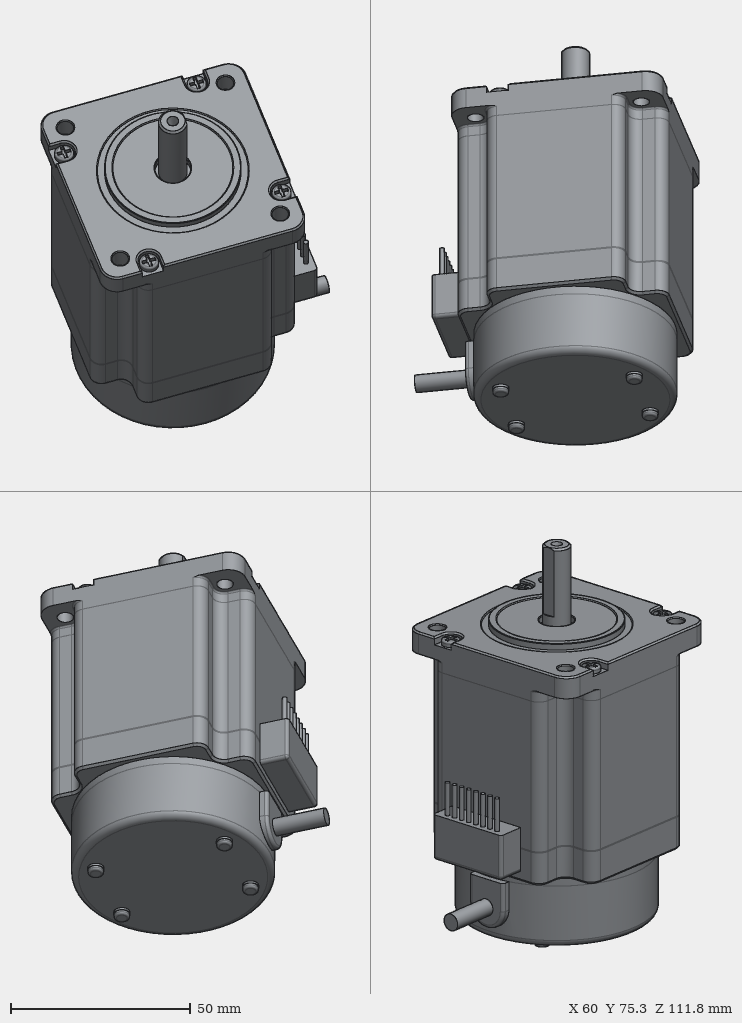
import cadquery as cq
import math


BODY_WIDTH = 60.0
HALF_WIDTH = BODY_WIDTH / 2
CORNER_RADIUS = 5.0
FLANGE_THICKNESS = 6.5
FRONT_CAP_BOTTOM = -9.9
STATOR_BOTTOM = -54.85
GASKET_THICKNESS = 0.3
BODY_BOTTOM = -65.0
FACE_CHAMFER = 0.5
END_CHAMFER = 0.7

RELIEF_WALL = 19.7
RELIEF_ROUND = 3.4
RELIEF_CEILING_FILLET = 0.5
RELIEF_MARGIN = 2.0

HOLE_PITCH = 47.14
HOLE_DIAMETER = 4.6
HOLE_CHAMFER = 0.3
SCREW_NEAR = 16.1
SCREW_FAR = 26.5
NOTCH_WIDTH = 6.2
NOTCH_DEPTH = 2.25
SCREW_HEAD_DIAMETER = 5.4
SCREW_HEAD_HEIGHT = 1.7
SCREW_HEAD_FILLET = 0.7
CROSS_LENGTH = 3.8
CROSS_WIDTH = 0.9
CROSS_DEPTH = 1.3

PILOT_RADIUS = 19.05
PILOT_HEIGHT = 1.6
PILOT_MOAT_RADIUS = 21.3
PILOT_MOAT_DEPTH = 0.3
PILOT_CHAMFER = 0.2
PILOT_RECESS_RADIUS = 17.0
PILOT_RECESS_DEPTH = 0.3
SHAFT_BORE_RADIUS = 5.0
SHAFT_BORE_CHAMFER = 0.25
SHAFT_BORE_DEPTH = 2.0
SHAFT_RADIUS = 4.0
SHAFT_TOP = 24.0
SHAFT_CHAMFER = 0.6
FLAT_DISTANCE = 3.5
ROUND_LENGTH = 2.0
FLAT_BOTTOM = PILOT_HEIGHT + ROUND_LENGTH
CENTRE_HOLE_RADIUS = 1.6
CENTRE_HOLE_TIP_RADIUS = 0.4
CENTRE_HOLE_DEPTH = 3.0

COVER_RADIUS = 28.35
COVER_TOP = -67.4
COVER_BOTTOM = -85.75
COVER_FILLET = 2.0
COVER_SCREW_X = 11.0
COVER_SCREW_Y = 19.0
COVER_SCREW_DIAMETER = 4.4
COVER_SCREW_BOTTOM = -87.77
COVER_SCREW_FILLET = 0.7
WASHER_DIAMETER = 4.6
WASHER_THICKNESS = 0.7

CONNECTOR_WIDTH = 25.1
CONNECTOR_END = 38.4
CONNECTOR_TOP = -48.8
CONNECTOR_BOTTOM = -62.3
CONNECTOR_FILLET = 1.0
PIN_COUNT = 8
PIN_PITCH = 2.6
PIN_DIAMETER = 1.35
PIN_Y = 36.1
PIN_TOP = -39.0

CABLE_DIAMETER = 5.0
CABLE_Z = -75.9
CABLE_END = 45.3
GROMMET_RADIUS = 6.2
GROMMET_END = 30.2
GROMMET_FILLET = 1.0

SEAT = 1.0


def cylinder(radius, bottom, top, x=0.0, y=0.0):
    return cq.Workplane("XY", origin=(x, y, bottom)).circle(radius).extrude(top - bottom)


def countersink(radius, depth, top, x=0.0, y=0.0):
    """Cone with 45 degree sides, widest at the top."""
    cone = cq.Solid.makeCone(radius - depth, radius, depth, cq.Vector(x, y, top - depth))
    return cq.Workplane(cone)


def square_prism(bottom, top):
    return cq.Workplane("XY", origin=(0, 0, bottom)).rect(BODY_WIDTH, BODY_WIDTH).extrude(top - bottom)


def quarter_turns(shape):
    """The shape and its three copies about the motor axis."""
    return [shape.rotate((0, 0, 0), (0, 0, 1), 90 * turn) for turn in range(4)]


def corner_relief():
    """Space beside the body's -X -Y corner: two rounded lips and a rounded inside corner."""
    wall = -RELIEF_WALL
    r = RELIEF_ROUND
    mid = r * (1 - math.sqrt(0.5))
    face = -HALF_WIDTH
    outside = face - RELIEF_MARGIN
    bottom = BODY_BOTTOM - RELIEF_MARGIN
    relief = (
        cq.Workplane("XY", origin=(0, 0, bottom))
        .moveTo(outside, outside)
        .lineTo(wall + r, outside)
        .lineTo(wall + r, face)
        .threePointArc((wall + mid, face + mid), (wall, face + r))
        .lineTo(wall, wall - r)
        .threePointArc((wall - mid, wall - mid), (wall - r, wall))
        .lineTo(face + r, wall)
        .threePointArc((face + mid, wall + mid), (face, wall + r))
        .lineTo(outside, wall + r)
        .close()
        .extrude(-FLANGE_THICKNESS - bottom)
    )
    return relief.faces(">Z").edges().fillet(RELIEF_CEILING_FILLET)


def notch():
    """Screw pocket in the flange face, open to the -Y side."""
    tool = cylinder(NOTCH_WIDTH / 2, -NOTCH_DEPTH, SEAT, -SCREW_NEAR, -SCREW_FAR)
    run_out = HALF_WIDTH + SEAT - SCREW_FAR
    slot = cq.Workplane("XY").box(NOTCH_WIDTH, run_out, NOTCH_DEPTH + SEAT, centered=(True, False, False))
    return tool.union(slot.translate((-SCREW_NEAR, -SCREW_FAR - run_out, -NOTCH_DEPTH)))


def flange_screw():
    top = SCREW_HEAD_HEIGHT - NOTCH_DEPTH
    head = cylinder(SCREW_HEAD_DIAMETER / 2, -NOTCH_DEPTH - SEAT, top)
    head = head.faces(">Z").edges().fillet(SCREW_HEAD_FILLET)
    slot = (
        cq.Workplane("XY", origin=(0, 0, top - CROSS_DEPTH))
        .rect(CROSS_LENGTH, CROSS_WIDTH)
        .extrude(CROSS_DEPTH)
    )
    cross = slot.union(slot.rotate((0, 0, 0), (0, 0, 1), 90))
    return head.cut(cross).translate((-SCREW_NEAR, -SCREW_FAR, 0))


def motor_body():
    front_cap = square_prism(FRONT_CAP_BOTTOM, 0).edges("|Z").fillet(CORNER_RADIUS)
    for tool in quarter_turns(notch()):
        front_cap = front_cap.cut(tool)
    front_cap = front_cap.faces(">Z").edges().chamfer(FACE_CHAMFER)
    stator = square_prism(STATOR_BOTTOM, FRONT_CAP_BOTTOM)
    gasket = square_prism(STATOR_BOTTOM - GASKET_THICKNESS, STATOR_BOTTOM)
    end_cap = square_prism(BODY_BOTTOM, STATOR_BOTTOM - GASKET_THICKNESS)
    for relief in quarter_turns(corner_relief()):
        front_cap = front_cap.cut(relief)
        stator = stator.cut(relief)
        gasket = gasket.cut(relief)
        end_cap = end_cap.cut(relief)
    end_cap = end_cap.faces("<Z").edges().chamfer(END_CHAMFER)
    body = front_cap
    for section in (stator, gasket, end_cap):
        body = body.union(section, clean=False)
    for x in (-HOLE_PITCH / 2, HOLE_PITCH / 2):
        for y in (-HOLE_PITCH / 2, HOLE_PITCH / 2):
            hole = cylinder(HOLE_DIAMETER / 2, -FLANGE_THICKNESS - SEAT, 0, x, y)
            rim = countersink(HOLE_DIAMETER / 2 + HOLE_CHAMFER, HOLE_CHAMFER, 0, x, y)
            body = body.cut(hole.union(rim), clean=False)
    return body


def pilot():
    """Stepped boss on the flange face, bored around the shaft."""
    boss = cylinder(PILOT_RADIUS, -SEAT, PILOT_HEIGHT).faces(">Z").edges().chamfer(PILOT_CHAMFER)
    return boss.cut(countersink(PILOT_RECESS_RADIUS, PILOT_RECESS_DEPTH, PILOT_HEIGHT))


def pilot_moat():
    """Shallow round recess in the flange face in which the pilot stands."""
    return countersink(PILOT_MOAT_RADIUS, PILOT_MOAT_DEPTH, 0)


def shaft_bore():
    floor = PILOT_HEIGHT - PILOT_RECESS_DEPTH
    bore = cylinder(SHAFT_BORE_RADIUS, floor - SHAFT_BORE_DEPTH, floor)
    return bore.union(countersink(SHAFT_BORE_RADIUS + SHAFT_BORE_CHAMFER, SHAFT_BORE_CHAMFER, floor))


def shaft():
    rod = cylinder(SHAFT_RADIUS, -SHAFT_BORE_DEPTH, SHAFT_TOP).faces(">Z").edges().chamfer(SHAFT_CHAMFER)
    flat = (
        cq.Workplane("XY", origin=(0, FLAT_DISTANCE, FLAT_BOTTOM))
        .box(2 * SHAFT_RADIUS, SHAFT_RADIUS, SHAFT_TOP - FLAT_BOTTOM, centered=(True, False, False))
    )
    centre_hole = (
        cq.Workplane("XY", origin=(0, 0, SHAFT_TOP))
        .circle(CENTRE_HOLE_RADIUS)
        .workplane(offset=-CENTRE_HOLE_DEPTH)
        .circle(CENTRE_HOLE_TIP_RADIUS)
        .loft()
    )
    return rod.cut(flat).cut(centre_hole)


def encoder_cover():
    spigot = cylinder(COVER_RADIUS, COVER_TOP, BODY_BOTTOM + SEAT)
    cover = cylinder(COVER_RADIUS, COVER_BOTTOM, COVER_TOP).faces("<Z").edges().fillet(COVER_FILLET)
    cover = cover.union(spigot, clean=False)
    for x in (-COVER_SCREW_X, COVER_SCREW_X):
        for y in (-COVER_SCREW_Y, COVER_SCREW_Y):
            head = cylinder(COVER_SCREW_DIAMETER / 2, COVER_SCREW_BOTTOM, COVER_BOTTOM + SEAT, x, y)
            head = head.faces("<Z").edges().fillet(COVER_SCREW_FILLET)
            washer = cylinder(WASHER_DIAMETER / 2, COVER_BOTTOM - WASHER_THICKNESS, COVER_BOTTOM + SEAT, x, y)
            cover = cover.union(head.union(washer), clean=False)
    return cover


def connector():
    base = HALF_WIDTH - SEAT
    height = CONNECTOR_TOP - CONNECTOR_BOTTOM
    shell = (
        cq.Workplane("XY", origin=(0, base, CONNECTOR_BOTTOM))
        .box(CONNECTOR_WIDTH, CONNECTOR_END - base, height, centered=(True, False, False))
    )
    shell = shell.edges("(|Z and >Y) or (<Z and (not <Y))").fillet(CONNECTOR_FILLET)
    for index in range(PIN_COUNT):
        x = (index - (PIN_COUNT - 1) / 2) * PIN_PITCH
        shell = shell.union(cylinder(PIN_DIAMETER / 2, CONNECTOR_TOP - SEAT, PIN_TOP, x, PIN_Y))
    return shell


def cable_exit():
    """Cable in a grommet that is round below and square up to the top of the cover."""
    base = COVER_RADIUS / 2
    grommet = (
        cq.Workplane("XZ", origin=(0, GROMMET_END, 0))
        .moveTo(-GROMMET_RADIUS, COVER_TOP)
        .lineTo(-GROMMET_RADIUS, CABLE_Z)
        .threePointArc((0, CABLE_Z - GROMMET_RADIUS), (GROMMET_RADIUS, CABLE_Z))
        .lineTo(GROMMET_RADIUS, COVER_TOP)
        .close()
        .extrude(GROMMET_END - base)
    )
    grommet = grommet.faces(">Y").edges("not >Z").fillet(GROMMET_FILLET)
    cable = (
        cq.Workplane("XZ", origin=(0, CABLE_END, CABLE_Z))
        .circle(CABLE_DIAMETER / 2)
        .extrude(CABLE_END - base)
    )
    return grommet.union(cable)


def motor():
    part = motor_body().cut(pilot_moat(), clean=False)
    part = part.union(pilot(), clean=False).cut(shaft_bore(), clean=False)
    pieces = [shaft(), encoder_cover(), cable_exit(), connector()] + quarter_turns(flange_screw())
    for piece in pieces:
        part = part.union(piece, clean=False)
    return part


result = motor()